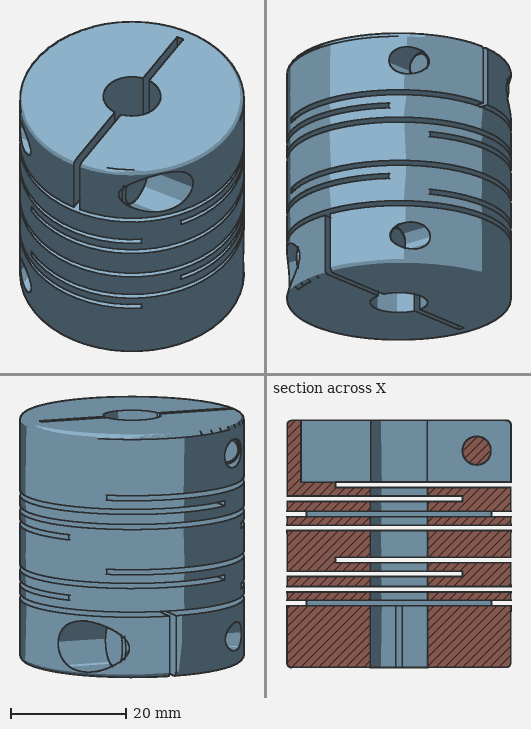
import cadquery as cq

length = 43.0
outer_dia = 39.0
bore_dia = 9.98
rim_fillet = 0.85
mid_height = length / 2

slot_height = 0.9
slot_reach = 11.0
outer_slot_offset = 10.28
middle_slot_offset = 4.0
slot_pitch = 2.4

slit_width = 1.2
slit_reach = 17.03
slit_depth = mid_height - outer_slot_offset - slot_height / 2

screw_offset = 13.5
screw_inset = 5.3
shank_dia = 5.0
tip_position = 10.92
tip_chamfer = 0.47
head_dia = 9.0
head_position = 8.65
head_height = 5.0
head_chamfer = 0.45

outer_radius = outer_dia / 2


def make_body():
    body = cq.Workplane("XY").circle(outer_radius).extrude(length)
    body = body.edges().fillet(rim_fillet)
    return body.cut(cq.Workplane("XY").circle(bore_dia / 2).extrude(length))


def open_slot(angle, centre_z):
    """Slot open towards -Y, turned by angle about the coupling axis."""
    slot = cq.Workplane("XY").box(outer_dia, outer_radius + slot_reach, slot_height)
    slot = slot.translate((0, (slot_reach - outer_radius) / 2, centre_z))
    return slot.rotate((0, 0, 0), (0, 0, 1), angle)


def x_cylinder(dia, start, end):
    """Cylinder on the screw axis of the upper hub, between two X positions."""
    plane = cq.Plane(
        origin=(start, -screw_offset, length - screw_inset), xDir=(0, 1, 0), normal=(1, 0, 0)
    )
    return cq.Workplane(plane).circle(dia / 2).extrude(end - start)


def make_upper_hub_cut():
    """Clamping slit open towards -Y, screw hole and head counterbore."""
    slit = cq.Workplane("XY").box(slit_width, outer_radius + slit_reach, slit_depth)
    slit = slit.translate((0, (slit_reach - outer_radius) / 2, length - slit_depth / 2))
    hole = x_cylinder(shank_dia, -outer_radius, head_position)
    counterbore = x_cylinder(head_dia, head_position - head_height, outer_radius)
    return slit.union(hole).union(counterbore)


def make_upper_screw():
    shank = x_cylinder(shank_dia, -tip_position, head_position - head_height)
    shank = shank.faces("<X").chamfer(tip_chamfer)
    head = x_cylinder(head_dia, head_position - head_height, head_position)
    head = head.faces(">X").chamfer(head_chamfer)
    return shank.union(head)


def to_lower_hub(shape):
    """Half turn about the diagonal X = Y at mid height, swapping the two hubs."""
    return shape.rotate((0, 0, mid_height), (0.45, 0.45, mid_height), 180)


result = make_body()

half_pitch = slot_pitch / 2
slots = [
    (0, outer_slot_offset),
    (180, outer_slot_offset - slot_pitch),
    (270, middle_slot_offset + half_pitch),
    (90, middle_slot_offset - half_pitch),
    (0, half_pitch - middle_slot_offset),
    (180, -half_pitch - middle_slot_offset),
    (90, slot_pitch - outer_slot_offset),
    (270, -outer_slot_offset),
]
for angle, offset in slots:
    result = result.cut(open_slot(angle, mid_height + offset))

hub_cut = make_upper_hub_cut()
screw = make_upper_screw()
result = result.cut(hub_cut).cut(to_lower_hub(hub_cut))
result = result.union(screw).union(to_lower_hub(screw))